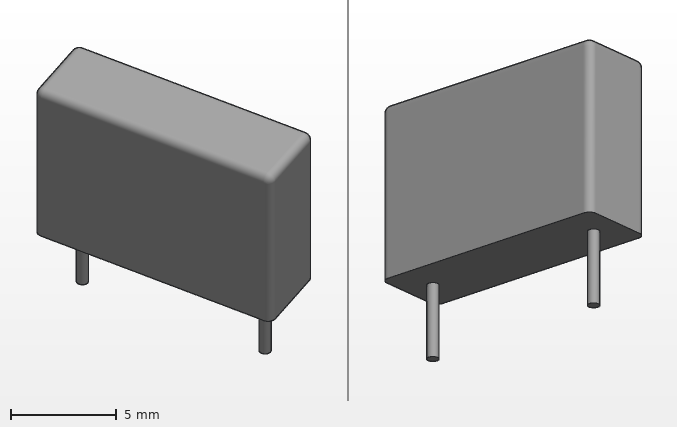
import cadquery as cq

housing_length = 13.0
housing_width = 4.0
housing_height = 9.0
edge_radius = 0.4

total_height = 12.8
lead_length = total_height - housing_height
lead_diameter = 0.6
lead_spacing = 10.0


def make_housing():
    """Box standing on Z = 0, rounded everywhere except around its base."""
    box = cq.Workplane("XY").box(
        housing_length, housing_width, housing_height, centered=(True, True, False)
    )
    return box.edges("|Z or >Z").fillet(edge_radius)


def make_lead(x):
    """Round wire hanging down from the underside of the housing."""
    return cq.Workplane("XY").center(x, 0).circle(lead_diameter / 2).extrude(-lead_length)


housing = make_housing()
leads = [make_lead(side * lead_spacing / 2) for side in (-1, 1)]

result = cq.Compound.makeCompound([housing.val(), *[lead.val() for lead in leads]])